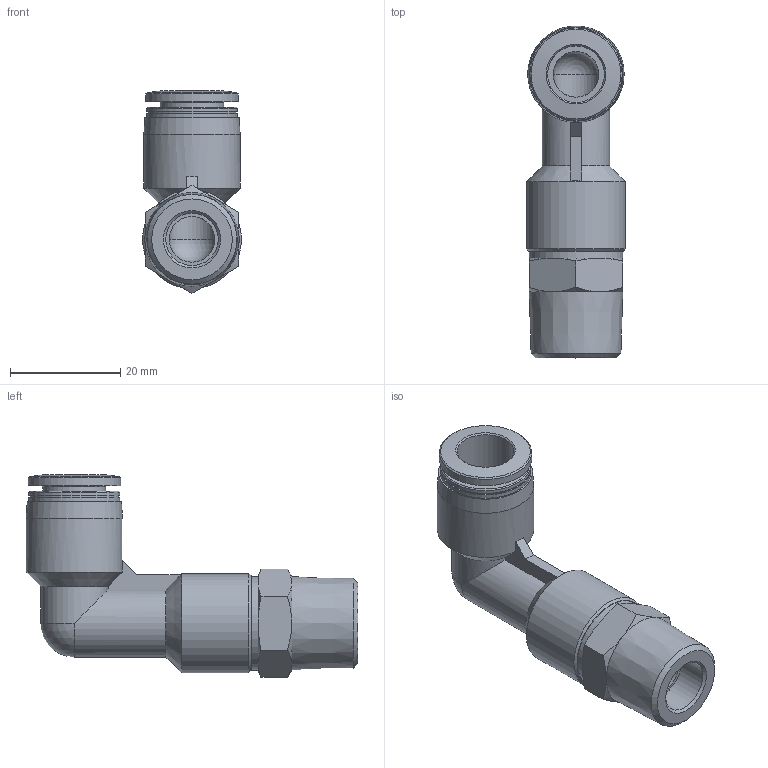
import cadquery as cq
import math


PIPE_DIA = 12.25
BORE_DIA = 8.3

SOCKET_DIA = 17.5
SOCKET_BASE_Z = 9.3
COLLAR_Z = 19.1
COLLAR_TOP_DIA = 17.1
COLLAR_TOP_Z = 22.1
RING_DIA = 16.5
RING_GROOVE_DIA = 16.1
RING_GROOVE_Z = 23.0
RING_GROOVE_WIDTH = 0.3
RING_TOP_Z = 24.0
RING_EDGE_CHAMFER = 0.2

NECK_DIA = 11.5
NECK_SHOULDER_DIA = 11.8
NECK_SHOULDER_Z = 24.8
BUTTON_DIA = 16.8
BUTTON_BASE_Z = 25.0
BUTTON_EDGE_Z = 26.65
BUTTON_EDGE_CHAMFER = 0.25
BUTTON_TOP_Z = 27.0
TUBE_DIA = 10.3
TUBE_MOUTH_DIA = 10.8
TUBE_STOP_Z = 8.0

STUD_DIA = 18.0
STUD_START = 19.5
STUD_END = 32.1
STUD_EDGE_CHAMFER = 0.4
SHANK_DIA = 17.0
HEX_FLATS = 17.0
HEX_START = 33.4
HEX_END = 39.5
HEX_CHAMFER_FACE_DIA = 17.0
HEX_START_CHAMFER = 0.5
HEX_END_CHAMFER = 0.8
THREAD_END = 51.5
THREAD_TAPER = 1 / 16
THREAD_CHAMFER = 0.8
STUD_MOUTH_DIA = 9.52
STUD_MOUTH_DEPTH = 6.0
STUD_MOUTH_CHAMFER = 0.45

RIB_WIDTH = 2.0
RIB_TOP_Z = 8.85
RIB_SLOPE_END = 11.3

HEX_CORNERS = HEX_FLATS / math.cos(math.radians(30))


def turned(profile):
    """Solid of revolution about Z from (diameter, height) pairs."""
    points = [(dia / 2, height) for dia, height in profile]
    outline = [(0, profile[0][1])] + points + [(0, profile[-1][1])]
    return cq.Workplane("XZ").polyline(outline).close().revolve(360, (0, 0), (0, 1))


def along_stud(solid):
    """Swing a solid built on +Z so that it points along -Y."""
    return solid.rotate((0, 0, 0), (1, 0, 0), 90)


def make_socket():
    cone_height = (SOCKET_DIA - PIPE_DIA) / 2
    groove_low = RING_GROOVE_Z - RING_GROOVE_WIDTH / 2
    groove_high = RING_GROOVE_Z + RING_GROOVE_WIDTH / 2
    return turned([
        (PIPE_DIA, 0),
        (PIPE_DIA, SOCKET_BASE_Z - cone_height),
        (SOCKET_DIA, SOCKET_BASE_Z),
        (SOCKET_DIA, COLLAR_Z),
        (COLLAR_TOP_DIA, COLLAR_TOP_Z),
        (RING_DIA, COLLAR_TOP_Z),
        (RING_DIA, groove_low),
        (RING_GROOVE_DIA, groove_low),
        (RING_GROOVE_DIA, groove_high),
        (RING_DIA, groove_high),
        (RING_DIA, RING_TOP_Z - RING_EDGE_CHAMFER),
        (RING_DIA - 2 * RING_EDGE_CHAMFER, RING_TOP_Z),
        (NECK_DIA, RING_TOP_Z),
        (NECK_DIA, NECK_SHOULDER_Z),
        (NECK_SHOULDER_DIA, BUTTON_BASE_Z),
        (BUTTON_DIA, BUTTON_BASE_Z),
        (BUTTON_DIA, BUTTON_EDGE_Z - BUTTON_EDGE_CHAMFER),
        (BUTTON_DIA - 2 * BUTTON_EDGE_CHAMFER, BUTTON_EDGE_Z),
        (TUBE_MOUTH_DIA, BUTTON_TOP_Z),
    ])


def make_stud():
    cone_length = (STUD_DIA - PIPE_DIA) / 2
    thread_end_dia = SHANK_DIA - (THREAD_END - HEX_END) * THREAD_TAPER
    stud = turned([
        (PIPE_DIA, 0),
        (PIPE_DIA, STUD_START - cone_length),
        (STUD_DIA, STUD_START),
        (STUD_DIA, STUD_END - STUD_EDGE_CHAMFER),
        (STUD_DIA - 2 * STUD_EDGE_CHAMFER, STUD_END),
        (SHANK_DIA, STUD_END),
        (SHANK_DIA, HEX_END),
        (thread_end_dia, THREAD_END),
    ])
    stud = stud.faces(">Z").chamfer(THREAD_CHAMFER)
    return along_stud(stud.union(make_hex()))


def make_hex():
    hexagon = (
        cq.Workplane("XY")
        .workplane(offset=HEX_START)
        .polygon(6, HEX_CORNERS)
        .extrude(HEX_END - HEX_START)
        .rotate((0, 0, 0), (0, 0, 1), 90)
    )
    chamfer_envelope = turned([
        (HEX_CHAMFER_FACE_DIA, HEX_START),
        (HEX_CORNERS, HEX_START + HEX_START_CHAMFER),
        (HEX_CORNERS, HEX_END - HEX_END_CHAMFER),
        (HEX_CHAMFER_FACE_DIA, HEX_END),
    ])
    return hexagon.intersect(chamfer_envelope)


def make_rib():
    slope_top = RIB_TOP_Z + RIB_SLOPE_END
    return (
        cq.Workplane("YZ")
        .polyline([
            (-PIPE_DIA / 2, 0),
            (-PIPE_DIA / 2, slope_top - PIPE_DIA / 2),
            (-RIB_SLOPE_END, RIB_TOP_Z),
            (-STUD_START, RIB_TOP_Z),
            (-STUD_START, 0),
        ])
        .close()
        .extrude(RIB_WIDTH / 2, both=True)
    )


def make_passage():
    """Everything bored out: the elbow passage and the two wider mouths."""
    mouth_chamfer = (TUBE_MOUTH_DIA - TUBE_DIA) / 2
    socket_bore = turned([
        (BORE_DIA, 0),
        (BORE_DIA, TUBE_STOP_Z),
        (TUBE_DIA, TUBE_STOP_Z),
        (TUBE_DIA, BUTTON_TOP_Z - mouth_chamfer),
        (TUBE_MOUTH_DIA, BUTTON_TOP_Z),
    ])
    stud_bore = turned([
        (BORE_DIA, 0),
        (BORE_DIA, THREAD_END - STUD_MOUTH_DEPTH),
        (STUD_MOUTH_DIA, THREAD_END - STUD_MOUTH_DEPTH),
        (STUD_MOUTH_DIA, THREAD_END - STUD_MOUTH_CHAMFER),
        (STUD_MOUTH_DIA + 2 * STUD_MOUTH_CHAMFER, THREAD_END),
    ])
    corner = cq.Workplane("XY").sphere(BORE_DIA / 2)
    return socket_bore.union(along_stud(stud_bore)).union(corner)


corner = cq.Workplane("XY").sphere(PIPE_DIA / 2)
body = make_socket().union(make_stud()).union(corner).union(make_rib())
result = body.cut(make_passage())